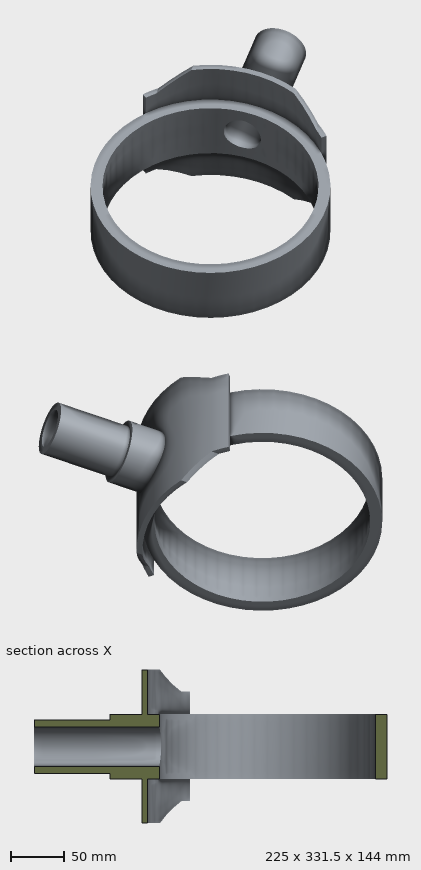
import cadquery as cq
import math

ring_outer_diameter = 225.0
ring_outer_radius = ring_outer_diameter / 2
ring_wall = 11.3
ring_height = 61.0
ring_inner_radius = ring_outer_radius - ring_wall

saddle_outer_radius = 118.0
saddle_half_angle = math.radians(50)
saddle_height = 144.0
saddle_end_height = 102.8
saddle_top_half_width = 50.5
saddle_shoulder_half_width = 78.5

overall_length = 331.5
pipe_end_y = overall_length - ring_outer_radius
pipe_diameter = 50.7
collar_diameter = ring_height
collar_end_y = 148.0
bore_diameter = 36.5


def cylinder_along_y(diameter, end_y):
    """Solid cylinder from the ring axis out to end_y."""
    return cq.Workplane("XZ").circle(diameter / 2).extrude(-end_y)


def ring_disc(radius, height):
    """Solid disc on the ring axis, centred in height."""
    return cq.Workplane("XY").circle(radius).extrude(height / 2, both=True)


def arc_point(radius, angle):
    """Point at the given radius, with the angle measured from +Y towards +X."""
    return (radius * math.sin(angle), radius * math.cos(angle))


def make_saddle():
    """Arc-shaped plate trimmed along Y to a profile with sloped shoulders."""
    arc_plate = (
        cq.Workplane("XY")
        .moveTo(*arc_point(ring_outer_radius, -saddle_half_angle))
        .threePointArc(
            arc_point(ring_outer_radius, 0),
            arc_point(ring_outer_radius, saddle_half_angle),
        )
        .lineTo(*arc_point(saddle_outer_radius, saddle_half_angle))
        .threePointArc(
            arc_point(saddle_outer_radius, 0),
            arc_point(saddle_outer_radius, -saddle_half_angle),
        )
        .close()
        .extrude(saddle_height / 2, both=True)
    )
    top = saddle_height / 2
    shoulder = saddle_end_height / 2
    upper_right = [
        (saddle_outer_radius, shoulder),
        (saddle_shoulder_half_width, shoulder),
        (saddle_top_half_width, top),
    ]
    upper_left = [(-x, z) for x, z in reversed(upper_right)]
    upper_half = upper_right + upper_left
    lower_half = [(-x, -z) for x, z in upper_half]
    profile = (
        cq.Workplane("XZ")
        .polyline(upper_half + lower_half)
        .close()
        .extrude(-saddle_outer_radius)
    )
    return arc_plate.intersect(profile)


ring = ring_disc(ring_outer_radius, ring_height)
pipe = cylinder_along_y(pipe_diameter, pipe_end_y)
collar = cylinder_along_y(collar_diameter, collar_end_y)
ring_opening = ring_disc(ring_inner_radius, saddle_height)
bore = cylinder_along_y(bore_diameter, pipe_end_y)

result = ring.union(make_saddle()).union(collar).union(pipe).cut(ring_opening).cut(bore)